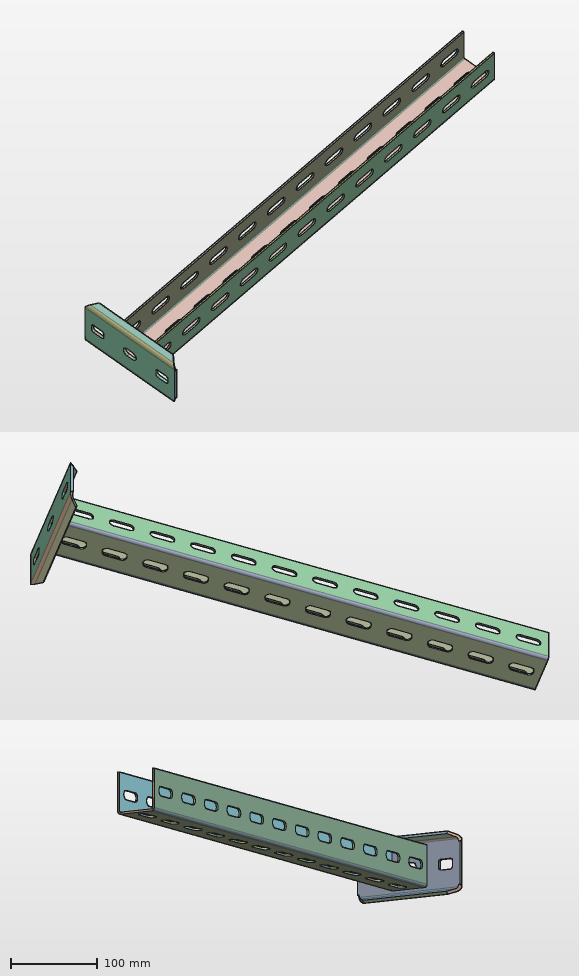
import cadquery as cq
import math

TOTAL_LENGTH = 604.0

PLATE_WIDTH = 140.0
PLATE_HEIGHT = 75.0
PLATE_THICKNESS = 3.85
FOLD_ANGLE = 65.0
FOLD_INNER_RADIUS = 2.5
FOLD_START_HEIGHT = 28.5
CORNER_CUT_X = 12.5
CORNER_CUT_DEPTH = 13.0

PLATE_HOLE_HEIGHT = 12.5
SIDE_HOLE_WIDTH = 19.0
SIDE_HOLE_OFFSET = 50.0
SIDE_HOLE_CORNER_RADIUS = 3.0
CENTRE_SLOT_LENGTH = 20.0

ARM_SIZE = 50.0
ARM_THICKNESS = 2.5
ARM_OUTER_RADIUS = 3.5
ARM_INNER_RADIUS = ARM_OUTER_RADIUS - ARM_THICKNESS

SLOT_COUNT = 12
SLOT_LENGTH = 30.0
SLOT_END_RADIUS = 5.5
SLOT_WIDTH = 2 * SLOT_END_RADIUS

plate_front = -TOTAL_LENGTH / 2
plate_back = plate_front + PLATE_THICKNESS
arm_end = TOTAL_LENGTH / 2
arm_length = arm_end - plate_back
slot_pitch = arm_length / SLOT_COUNT
arm_centre = (plate_back + arm_end) / 2


def upper_half_plate():
    """Upper half of the head plate, from mid-height to the tip of the folded flange."""
    fold = math.radians(FOLD_ANGLE)
    sin_fold = math.sin(fold)
    cos_fold = math.cos(fold)
    outer_radius = FOLD_INNER_RADIUS + PLATE_THICKNESS
    fold_centre_y = plate_front + outer_radius
    flange_length = (PLATE_HEIGHT / 2 - FOLD_START_HEIGHT - outer_radius * sin_fold) / cos_fold

    def fold_point(radius, angle):
        return (
            fold_centre_y - radius * math.cos(angle),
            FOLD_START_HEIGHT + radius * math.sin(angle),
        )

    def along_flange(point, distance):
        return (point[0] + distance * sin_fold, point[1] + distance * cos_fold)

    outer_fold_end = fold_point(outer_radius, fold)
    inner_fold_end = fold_point(FOLD_INNER_RADIUS, fold)
    outer_tip = along_flange(outer_fold_end, flange_length)
    inner_tip = along_flange(inner_fold_end, flange_length)

    half = (
        cq.Workplane("YZ")
        .moveTo(plate_front, 0)
        .lineTo(plate_front, FOLD_START_HEIGHT)
        .threePointArc(fold_point(outer_radius, fold / 2), outer_fold_end)
        .lineTo(*outer_tip)
        .lineTo(*inner_tip)
        .lineTo(*inner_fold_end)
        .threePointArc(fold_point(FOLD_INNER_RADIUS, fold / 2), (plate_back, FOLD_START_HEIGHT))
        .lineTo(plate_back, 0)
        .close()
        .extrude(PLATE_WIDTH / 2, both=True)
    )

    flange_plane = cq.Plane(
        origin=(0, *outer_tip),
        xDir=(1, 0, 0),
        normal=(0, -cos_fold, sin_fold),
    )
    for side in (-1, 1):
        corner = (
            cq.Workplane(flange_plane)
            .moveTo(side * PLATE_WIDTH / 2, 0)
            .lineTo(side * (PLATE_WIDTH / 2 - CORNER_CUT_X), 0)
            .lineTo(side * PLATE_WIDTH / 2, -CORNER_CUT_DEPTH)
            .close()
            .extrude(PLATE_THICKNESS * 2, both=True)
        )
        half = half.cut(corner)
    return half


def side_holes():
    """Pair of rounded rectangular holes, one near each end of the plate."""
    return (
        cq.Workplane("XZ", origin=(0, plate_back, 0))
        .pushPoints([(-SIDE_HOLE_OFFSET, 0), (SIDE_HOLE_OFFSET, 0)])
        .rect(SIDE_HOLE_WIDTH, PLATE_HOLE_HEIGHT)
        .extrude(PLATE_THICKNESS)
        .edges("|Y")
        .fillet(SIDE_HOLE_CORNER_RADIUS)
    )


def make_head_plate():
    """Head plate with both flanges, two side holes and a central slot."""
    upper = upper_half_plate()
    plate = upper.union(upper.mirror("XY")).clean()
    centre_slot = (
        cq.Workplane("XZ", origin=(0, plate_back, 0))
        .slot2D(CENTRE_SLOT_LENGTH, PLATE_HOLE_HEIGHT)
        .extrude(PLATE_THICKNESS)
    )
    return plate.cut(side_holes()).cut(centre_slot)


def make_arm():
    """U-channel arm with a row of slots in its base and in both walls."""
    half_size = ARM_SIZE / 2
    inner_width = ARM_SIZE - 2 * ARM_THICKNESS
    arm = (
        cq.Workplane("XY")
        .box(ARM_SIZE, arm_length, ARM_SIZE)
        .edges("|Y and <Z")
        .fillet(ARM_OUTER_RADIUS)
    )
    cavity = (
        cq.Workplane("XY")
        .box(inner_width, arm_length, ARM_SIZE)
        .edges("|Y and <Z")
        .fillet(ARM_INNER_RADIUS)
        .translate((0, 0, ARM_THICKNESS))
    )
    arm = arm.cut(cavity).translate((0, arm_centre, 0))

    base_slots = (
        cq.Workplane("XY", origin=(0, arm_centre, -half_size))
        .rarray(6, slot_pitch, 1, SLOT_COUNT)
        .slot2D(SLOT_LENGTH, SLOT_WIDTH, 90)
        .extrude(ARM_THICKNESS)
    )
    wall_slots = (
        cq.Workplane("YZ", origin=(0, arm_centre, 0))
        .rarray(slot_pitch, 6, SLOT_COUNT, 1)
        .slot2D(SLOT_LENGTH, SLOT_WIDTH)
        .extrude(half_size, both=True)
    )
    return arm.cut(base_slots).cut(wall_slots)


head_plate = make_head_plate()
arm = make_arm()

result = cq.Compound.makeCompound([*head_plate.solids().vals(), *arm.solids().vals()])